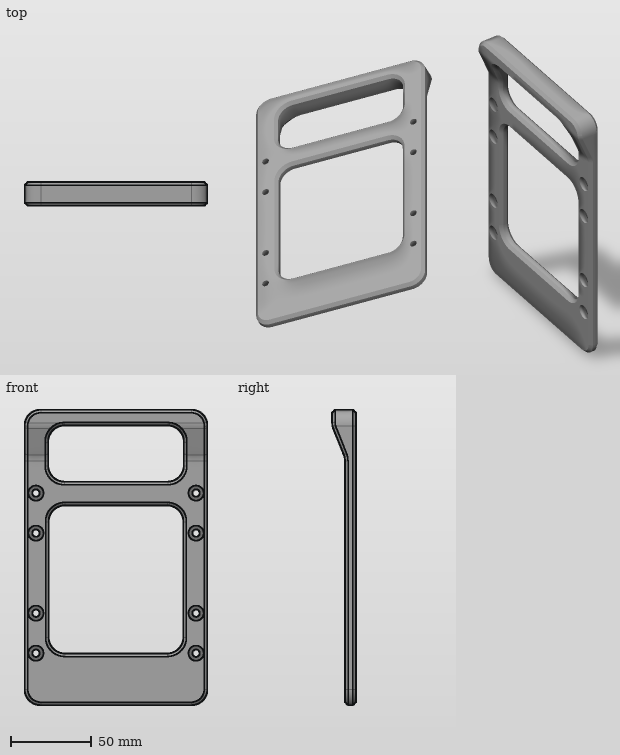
import cadquery as cq
import math

WIDTH = 114.3
HEIGHT = 184.7
HANDLE_THICKNESS = 15.0
PLATE_THICKNESS = 7.0
CORNER_RADIUS = 10.0
CHAMFER = 2.0

TOP_Z = HEIGHT / 2
BOTTOM_Z = -HEIGHT / 2
BACK_Y = HANDLE_THICKNESS / 2
HANDLE_FRONT_Y = BACK_Y - HANDLE_THICKNESS
PLATE_FRONT_Y = BACK_Y - PLATE_THICKNESS

RAMP_HEIGHT = 20.0
RAMP_TOP_Z = TOP_Z - CORNER_RADIUS
RAMP_BOTTOM_Z = RAMP_TOP_Z - RAMP_HEIGHT
RAMP_BLEND_RADIUS = 10.0
RAMP_ANGLE = math.atan2(HANDLE_THICKNESS - PLATE_THICKNESS, RAMP_HEIGHT)
RAMP_BLEND_LENGTH = RAMP_BLEND_RADIUS * math.tan(RAMP_ANGLE / 2)

SELECT_MARGIN = 0.1

HANDLE_WINDOW_WIDTH = 84.6
MAIN_WINDOW_WIDTH = 84.0
WINDOW_CORNER_RADIUS = 10.0
HANDLE_WINDOW_TOP_Z = RAMP_TOP_Z
HANDLE_WINDOW_BOTTOM_Z = 47.4
MAIN_WINDOW_TOP_Z = 32.4
MAIN_WINDOW_BOTTOM_Z = -59.9

HOLE_DIAMETER = 4.5
COUNTERBORE_DIAMETER = 9.5
COUNTERBORE_DEPTH = 4.0
HOLE_X = 50.0
HOLE_HEIGHTS = (40.2, 15.2, -34.8, -59.8)


def make_side_profile():
    """Extrude the YZ profile: thin plate, sloped ramp, thick handle bar."""
    profile = (
        cq.Workplane("YZ")
        .moveTo(BACK_Y, BOTTOM_Z)
        .lineTo(BACK_Y, TOP_Z)
        .lineTo(HANDLE_FRONT_Y, TOP_Z)
        .lineTo(HANDLE_FRONT_Y, RAMP_TOP_Z)
        .lineTo(PLATE_FRONT_Y, RAMP_BOTTOM_Z)
        .lineTo(PLATE_FRONT_Y, BOTTOM_Z)
        .close()
        .extrude(WIDTH / 2, both=True)
    )
    ramp_ends = cq.selectors.BoxSelector(
        (-WIDTH, HANDLE_FRONT_Y - SELECT_MARGIN, RAMP_BOTTOM_Z - SELECT_MARGIN),
        (WIDTH, PLATE_FRONT_Y + SELECT_MARGIN, RAMP_TOP_Z + SELECT_MARGIN),
    )
    return profile.edges("|X").edges(ramp_ends).fillet(RAMP_BLEND_RADIUS)


def make_window(width, top_z, bottom_z):
    """Rounded rectangular cutter passing through the full thickness."""
    return (
        cq.Workplane("XY")
        .box(width, 2 * HANDLE_THICKNESS, top_z - bottom_z)
        .edges("|Y")
        .fillet(WINDOW_CORNER_RADIUS)
        .translate((0, 0, (top_z + bottom_z) / 2))
    )


def make_screw_hole(x, z):
    """Through hole with a counterbore opening on the plate's front face."""
    front = cq.Workplane("XZ", origin=(x, PLATE_FRONT_Y, z))
    hole = front.circle(HOLE_DIAMETER / 2).extrude(-PLATE_THICKNESS)
    counterbore = front.circle(COUNTERBORE_DIAMETER / 2).extrude(-COUNTERBORE_DEPTH)
    return hole.union(counterbore)


def chamfer_face_edges(body):
    """Chamfer every outline and window edge on the back and front.

    The front edges run tangentially from the plate over the ramp onto the handle
    bar, so picking the plate's edges chamfers each complete loop.
    """
    body = body.faces(">Y").edges().chamfer(CHAMFER)
    plate_front_edges = cq.selectors.BoxSelector(
        (-WIDTH, PLATE_FRONT_Y - SELECT_MARGIN, BOTTOM_Z - SELECT_MARGIN),
        (WIDTH, PLATE_FRONT_Y + SELECT_MARGIN, RAMP_BOTTOM_Z - RAMP_BLEND_LENGTH),
    )
    return body.edges(plate_front_edges).chamfer(CHAMFER)


body = make_side_profile()
body = body.edges("|Y").fillet(CORNER_RADIUS)
body = body.cut(make_window(HANDLE_WINDOW_WIDTH, HANDLE_WINDOW_TOP_Z, HANDLE_WINDOW_BOTTOM_Z))
body = body.cut(make_window(MAIN_WINDOW_WIDTH, MAIN_WINDOW_TOP_Z, MAIN_WINDOW_BOTTOM_Z))
body = chamfer_face_edges(body)
for hole_z in HOLE_HEIGHTS:
    for hole_x in (-HOLE_X, HOLE_X):
        body = body.cut(make_screw_hole(hole_x, hole_z))

result = body